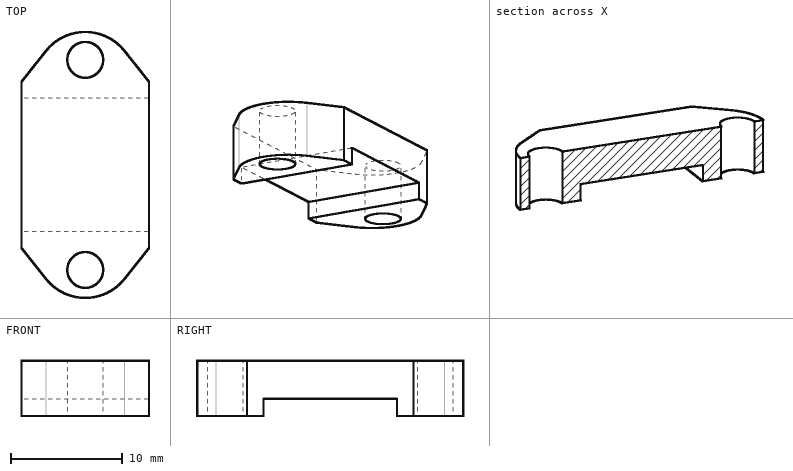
import cadquery as cq
import math

length = 23.97
width = 11.5
height = 5.0

end_radius = 4.5
end_center_y = length / 2 - end_radius

hole_diameter = 3.2
hole_spacing = 18.91

channel_length = 12.0
channel_depth = 1.55


def make_body():
    """Plate whose straight sides taper tangentially into rounded ends."""
    half_width = width / 2
    tangent_x = end_radius**2 / half_width
    tangent_y = end_center_y + math.sqrt(end_radius**2 - tangent_x**2)
    return (
        cq.Workplane("XY")
        .moveTo(half_width, -end_center_y)
        .lineTo(half_width, end_center_y)
        .lineTo(tangent_x, tangent_y)
        .threePointArc((0, length / 2), (-tangent_x, tangent_y))
        .lineTo(-half_width, end_center_y)
        .lineTo(-half_width, -end_center_y)
        .lineTo(-tangent_x, -tangent_y)
        .threePointArc((0, -length / 2), (tangent_x, -tangent_y))
        .close()
        .extrude(height)
    )


def make_holes():
    """Through holes near both ends."""
    return (
        cq.Workplane("XY")
        .pushPoints([(0, -hole_spacing / 2), (0, hole_spacing / 2)])
        .circle(hole_diameter / 2)
        .extrude(height)
    )


def make_channel():
    """Rectangular channel running the full width of the underside."""
    return cq.Workplane("XY").rect(width, channel_length).extrude(channel_depth)


result = make_body().cut(make_holes()).cut(make_channel())